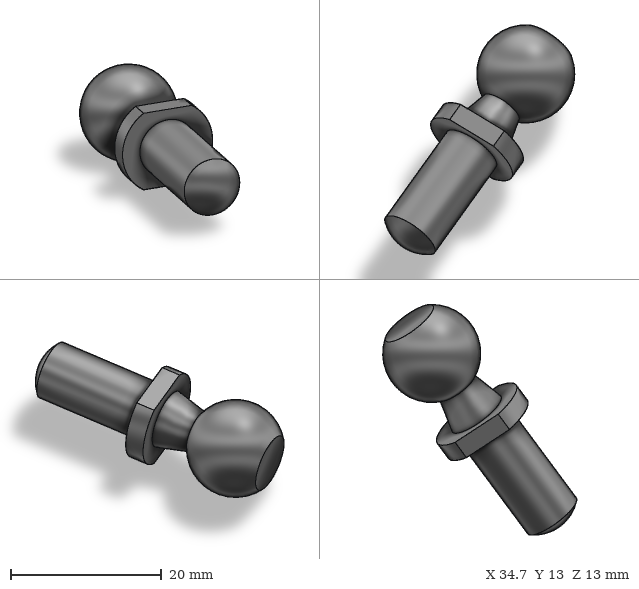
import cadquery as cq
import math

total_length = 34.7
ball_diameter = 13.0
ball_flat_offset = 5.2
neck_ball_radius = 2.85
collar_start = 10.4
collar_thickness = 2.65
collar_diameter = 13.0
collar_across_flats = 11.0
shank_diameter = 8.0
dome_height = 1.6

ball_radius = ball_diameter / 2
shank_radius = shank_diameter / 2
collar_radius = collar_diameter / 2
stud_end = total_length - ball_flat_offset
dome_start = stud_end - dome_height
ball_flat_radius = math.sqrt(ball_radius**2 - ball_flat_offset**2)
neck_start = math.sqrt(ball_radius**2 - neck_ball_radius**2)

dome_radius = (shank_radius**2 + dome_height**2) / (2 * dome_height)
dome_half_angle = math.asin(shank_radius / dome_radius) / 2
dome_mid_x = stud_end - dome_radius * (1 - math.cos(dome_half_angle))
dome_mid_radius = dome_radius * math.sin(dome_half_angle)


def make_stud():
    """Ball, tapered neck and domed shank as one revolved profile."""
    return (
        cq.Workplane("XY")
        .moveTo(-ball_flat_offset, 0)
        .lineTo(-ball_flat_offset, ball_flat_radius)
        .threePointArc((0, ball_radius), (neck_start, neck_ball_radius))
        .lineTo(collar_start, shank_radius)
        .lineTo(dome_start, shank_radius)
        .threePointArc((dome_mid_x, dome_mid_radius), (stud_end, 0))
        .close()
        .revolve(360, (0, 0, 0), (1, 0, 0))
    )


def make_collar():
    """Round collar with two wrench flats facing +Z and -Z."""
    disc = cq.Workplane("YZ", origin=(collar_start, 0, 0)).circle(collar_radius).extrude(collar_thickness)
    flats = (
        cq.Workplane("YZ", origin=(collar_start, 0, 0))
        .rect(collar_diameter, collar_across_flats)
        .extrude(collar_thickness)
    )
    return disc.intersect(flats)


result = make_stud().union(make_collar())